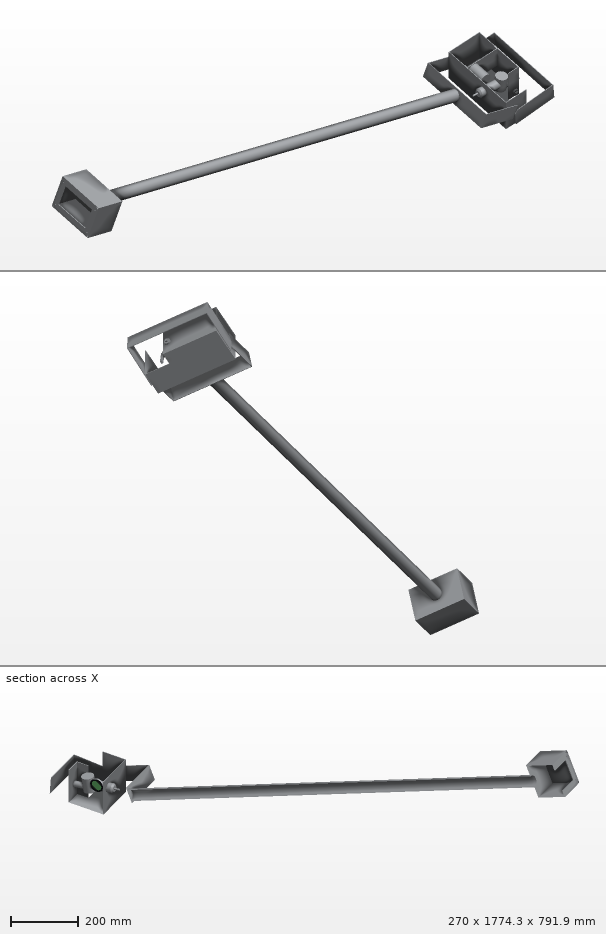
import cadquery as cq
import math

SHEET = 2.0

BOX_DEPTH = 120.0
BOX_HEIGHT = 120.0
NOTCH_DEPTH = 40.0
RETURN_WALL_X = 49.0

BRACKET_WIDTH = 270.0
FORK_WIDTH = BRACKET_WIDTH - 2 * SHEET
BOX_WIDTH = FORK_WIDTH - 2 * SHEET

BRACKET_LENGTH = 150.0
BRACKET_HEIGHT = 60.0
BRACKET_TILT = 3.8
BRACKET_CORNER_CUT = 12.0
BRACKET_CORNER_Y = 185.1
BRACKET_CORNER_Z = 8.7

ARM_TILT = 22.4
FORK_FRONT_Y = -89.0
FORK_FRONT_Z = 104.5
FORK_LENGTH = 134.0
FORK_HEIGHT = 52.0
TUBE_LENGTH = 1501.5
TUBE_RADIUS = 20.0
TUBE_WALL = 2.0

HEAD_WIDTH = 165.0
HEAD_HEIGHT = 112.0
HEAD_DEPTH = 100.0
FRAME_THICKNESS = 3.0
FRAME_CORNER_RADIUS = 10.0
WINDOW_WIDTH = 122.0
WINDOW_HEIGHT = 70.0
SCREW_DIAMETER = 3.0
SCREW_SPACING_X = 144.0
SCREW_SPACING_Z = 82.0

DIVIDER_X = -47.0
DIVIDER_FLANGE = 14.0
DIVIDER_BOTTOM = 43.0

MOTOR_RADIUS = 20.0
MOTOR_LENGTH = 56.0
MOTOR_Y = 24.0
MOTOR_Z = 98.0

VALVE_TILT = 9.0
CUP_X = 28.0
CUP_Y = 71.0
CUP_TOP_Z = 98.0
CUP_RADIUS = 19.5
CUP_HEIGHT = 50.0
BARREL_DROP = 26.0
BARREL_RADIUS = 15.0
BARREL_REACH = 90.0
BARREL_CHAMFER = 5.0
NOZZLE_X = 26.7
NOZZLE_RADIUS = 3.0
NOZZLE_REACH = 108.0
STEM_X = 32.0
STEM_DROP = 41.0
STEM_RADIUS = 10.0
STEM_REACH = 63.0
TIP_RADIUS = 4.5
TIP_REACH = 69.0

LEVER_THICKNESS = 6.0
LEVER_WIDTH = 10.0
LEVER_TILT = 9.0
LEVER_Y = 105.0
LEVER_PIVOT_Z = 20.0
LEVER_BOTTOM_Z = -26.15
LEVER_HUB_RADIUS = 10.0
LEVER_HUB_LENGTH = 6.0


def block(x0, x1, y0, y1, z0, z1):
    """Axis-aligned block between two corners."""
    return cq.Workplane("XY").box(x1 - x0, y1 - y0, z1 - z0, centered=False).translate((x0, y0, z0))


def place_on_arm(body):
    """Move a body from the arm frame (front of the fork at the origin, -Y along the arm) into place."""
    return body.rotate((0, 0, 0), (1, 0, 0), -ARM_TILT).translate((0, FORK_FRONT_Y, FORK_FRONT_Z))


def make_box():
    half = BOX_WIDTH / 2
    outer = block(-half, half, 0, BOX_DEPTH, 0, BOX_HEIGHT)
    inner = block(-half + SHEET, half - SHEET, SHEET, BOX_DEPTH - SHEET, SHEET, BOX_HEIGHT)
    notch = block(RETURN_WALL_X, half, BOX_DEPTH - NOTCH_DEPTH, BOX_DEPTH, 0, BOX_HEIGHT)
    return_wall = block(
        RETURN_WALL_X - SHEET, RETURN_WALL_X, BOX_DEPTH - NOTCH_DEPTH, BOX_DEPTH, 0, BOX_HEIGHT
    )
    return outer.cut(inner).cut(notch).union(return_wall)


def make_bracket():
    half = BRACKET_WIDTH / 2
    outer = block(-half, half, -BRACKET_LENGTH, 0, 0, BRACKET_HEIGHT)
    outer = outer.edges("|X and >Z and <Y").chamfer(BRACKET_CORNER_CUT)
    inner = block(-half + SHEET, half - SHEET, -BRACKET_LENGTH, -SHEET, 0, BRACKET_HEIGHT)
    bracket = outer.cut(inner).rotate((0, 0, 0), (1, 0, 0), BRACKET_TILT)
    return bracket.translate((0, BRACKET_CORNER_Y, BRACKET_CORNER_Z))


def make_fork():
    half = FORK_WIDTH / 2
    rise = FORK_HEIGHT / 2
    outer = block(-half, half, 0, FORK_LENGTH, -rise, rise)
    inner = block(-half + SHEET, half - SHEET, SHEET, FORK_LENGTH, -rise, rise)
    return place_on_arm(outer.cut(inner))


def make_tube():
    ring = cq.Workplane("XZ").circle(TUBE_RADIUS).circle(TUBE_RADIUS - TUBE_WALL)
    return place_on_arm(ring.extrude(TUBE_LENGTH))


HEAD_FRONT = SHEET - TUBE_LENGTH - HEAD_DEPTH


def frame_blank(thickness):
    """Rounded plate that fills the open front of the head."""
    plate = block(
        SHEET - HEAD_WIDTH / 2, HEAD_WIDTH / 2 - SHEET,
        HEAD_FRONT, HEAD_FRONT + thickness,
        SHEET - HEAD_HEIGHT / 2, HEAD_HEIGHT / 2 - SHEET,
    )
    return plate.edges("|Y").fillet(FRAME_CORNER_RADIUS)


def make_head():
    half = HEAD_WIDTH / 2
    rise = HEAD_HEIGHT / 2
    head_rear = HEAD_FRONT + HEAD_DEPTH
    outer = block(-half, half, HEAD_FRONT, head_rear, -rise, rise)
    cavity = block(
        SHEET - half, half - SHEET, HEAD_FRONT, head_rear - SHEET, SHEET - rise, rise - SHEET
    )
    tube_hole = cq.Workplane("XZ").circle(TUBE_RADIUS).extrude(TUBE_LENGTH)
    return place_on_arm(outer.cut(cavity).cut(tube_hole))


def make_frame():
    window = block(
        -WINDOW_WIDTH / 2, WINDOW_WIDTH / 2,
        HEAD_FRONT, HEAD_FRONT + FRAME_THICKNESS,
        -WINDOW_HEIGHT / 2, WINDOW_HEIGHT / 2,
    )
    screw_holes = (
        cq.Workplane("XZ", origin=(0, HEAD_FRONT + FRAME_THICKNESS, 0))
        .rarray(SCREW_SPACING_X, SCREW_SPACING_Z, 2, 2)
        .circle(SCREW_DIAMETER / 2)
        .extrude(FRAME_THICKNESS)
    )
    return place_on_arm(frame_blank(FRAME_THICKNESS).cut(window).cut(screw_holes))


def make_divider():
    """Upright plate with flanges turned left along its bottom, front and rear edges."""
    x0 = DIVIDER_X - DIVIDER_FLANGE
    y1 = BOX_DEPTH - SHEET
    outer = block(x0, DIVIDER_X, SHEET, y1, DIVIDER_BOTTOM, BOX_HEIGHT)
    inner = block(x0, DIVIDER_X - SHEET, 2 * SHEET, y1 - SHEET, DIVIDER_BOTTOM + SHEET, BOX_HEIGHT)
    return outer.cut(inner)


def make_motor():
    face = cq.Workplane("YZ", origin=(DIVIDER_X, MOTOR_Y, MOTOR_Z))
    return face.circle(MOTOR_RADIUS).extrude(MOTOR_LENGTH)


def rod_along_y(x, z, radius, y0, y1):
    """Rod along Y from y0 forwards to y1."""
    return cq.Workplane("XZ", origin=(x, y0, z)).circle(radius).extrude(y0 - y1)


def make_valve():
    """Upright cup with a barrel and nozzle to the front and a stem to the rear, tilted as one."""
    cup = cq.Workplane("XY").circle(CUP_RADIUS).extrude(-CUP_HEIGHT)
    barrel = rod_along_y(0, -BARREL_DROP, BARREL_RADIUS, 0, -BARREL_REACH)
    barrel = barrel.faces("<Y").chamfer(BARREL_CHAMFER)
    nozzle = rod_along_y(NOZZLE_X - CUP_X, -BARREL_DROP, NOZZLE_RADIUS, 0, -NOZZLE_REACH)
    stem = rod_along_y(STEM_X - CUP_X, -STEM_DROP, STEM_RADIUS, STEM_REACH, 0)
    tip = rod_along_y(STEM_X - CUP_X, -STEM_DROP, TIP_RADIUS, TIP_REACH, 0)
    valve = cup.union(barrel).union(nozzle).union(stem).union(tip)
    return valve.rotate((0, 0, 0), (1, 0, 0), -VALVE_TILT).translate((CUP_X, CUP_Y, CUP_TOP_Z))


def make_lever():
    """Flat lever hanging below the box, on a hub against the return wall."""
    hub = cq.Workplane("YZ").circle(LEVER_HUB_RADIUS).extrude(LEVER_HUB_LENGTH)
    half = LEVER_WIDTH / 2
    tilt = math.radians(LEVER_TILT)
    reach = (LEVER_PIVOT_Z - LEVER_BOTTOM_Z - half * math.sin(tilt)) / math.cos(tilt)
    blade = block(LEVER_HUB_LENGTH, LEVER_HUB_LENGTH + LEVER_THICKNESS, -half, half, -reach, half)
    blade = blade.rotate((0, 0, 0), (1, 0, 0), LEVER_TILT)
    return hub.union(blade).translate((RETURN_WALL_X, LEVER_Y, LEVER_PIVOT_Z))


valve = make_valve()
box = make_box().cut(valve)
bracket = make_bracket()
fork = make_fork()
tube = make_tube()
head = make_head()
frame = make_frame()
divider = make_divider()
motor = make_motor()
lever = make_lever()

bodies = [box, bracket, fork, tube, head, frame, divider, motor, valve, lever]
result = cq.Compound.makeCompound([body.val() for body in bodies])